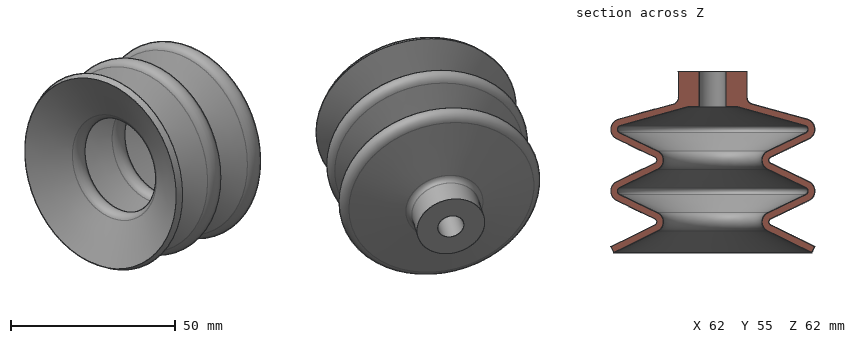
import cadquery as cq
import math


outer_radius = 31.0
total_length = 55.0
wall = 2.1

half_pitch = 9.35
convolutions = 2
crest_round = 3.2
groove_radius = 17.05
groove_round = 1.0

lip_edge_depth = 1.9
lip_face_radius = 30.1

neck_radius = 10.5
neck_length = 7.95
neck_round = 2.0
ceiling_radius = 7.45
ceiling_depth = 44.25
bore_radius = 4.0


def tangent_normal(start, end):
    """Outward unit normal of the line touching two rounds.

    A round is (radial centre, axial centre, signed radius); the radius is
    positive for a bulge, negative for a hollow and zero for a sharp corner.
    """
    dr = end[0] - start[0]
    dy = end[1] - start[1]
    angle = math.atan2(dy, dr) - math.acos((start[2] - end[2]) / math.hypot(dr, dy))
    return math.cos(angle), math.sin(angle)


def point_on(round_, normal):
    """Point of a round where the surface has the given outward normal."""
    return round_[0] + round_[2] * normal[0], round_[1] + round_[2] * normal[1]


def bellows_rounds(inset):
    """Alternating groove and crest rounds, moved inward by inset."""
    rounds = []
    for i in range(convolutions):
        groove_depth = (2 * i + 1) * half_pitch
        crest_depth = groove_depth + half_pitch
        rounds.append((groove_radius + groove_round, groove_depth, -groove_round - inset))
        rounds.append((outer_radius - crest_round, crest_depth, crest_round - inset))
    return rounds


def revolve_chain(chain, last_normal, closing_points):
    """Solid of revolution bounded by rounds joined with tangent lines.

    The outline runs from the axis along Y = 0 to the sharp first corner,
    follows the chain, and returns to the axis through the closing points.
    The surface leaves the last round with the normal last_normal.
    """
    normals = [tangent_normal(a, b) for a, b in zip(chain, chain[1:])]
    normals.append(last_normal)
    outline = cq.Workplane("XY").moveTo(0, 0)
    outline = outline.lineTo(chain[0][0], chain[0][1])
    for i in range(1, len(chain)):
        before = normals[i - 1]
        after = normals[i]
        outline = outline.lineTo(*point_on(chain[i], before))
        if chain[i][2] != 0:
            length = math.hypot(before[0] + after[0], before[1] + after[1])
            middle = ((before[0] + after[0]) / length, (before[1] + after[1]) / length)
            outline = outline.threePointArc(point_on(chain[i], middle), point_on(chain[i], after))
    for point in closing_points:
        outline = outline.lineTo(*point)
    return outline.close().revolve(360, (0, 0, 0), (0, 1, 0))


radial = (1.0, 0.0)

lip_opening = (lip_face_radius, 0, 0)
lip_edge = (outer_radius, lip_edge_depth, 0)
neck_fillet = (neck_radius + neck_round, total_length - neck_length, -neck_round)
body = revolve_chain(
    [lip_opening, lip_edge] + bellows_rounds(0) + [neck_fillet],
    radial,
    [(neck_radius, total_length), (0, total_length)],
)

ceiling_edge = (ceiling_radius, ceiling_depth, 0)
cavity = revolve_chain(
    [lip_opening] + bellows_rounds(wall) + [ceiling_edge],
    radial,
    [(0, ceiling_depth)],
)

bore = cq.Workplane("XZ").circle(bore_radius).extrude(-total_length)

result = body.cut(cavity).cut(bore)